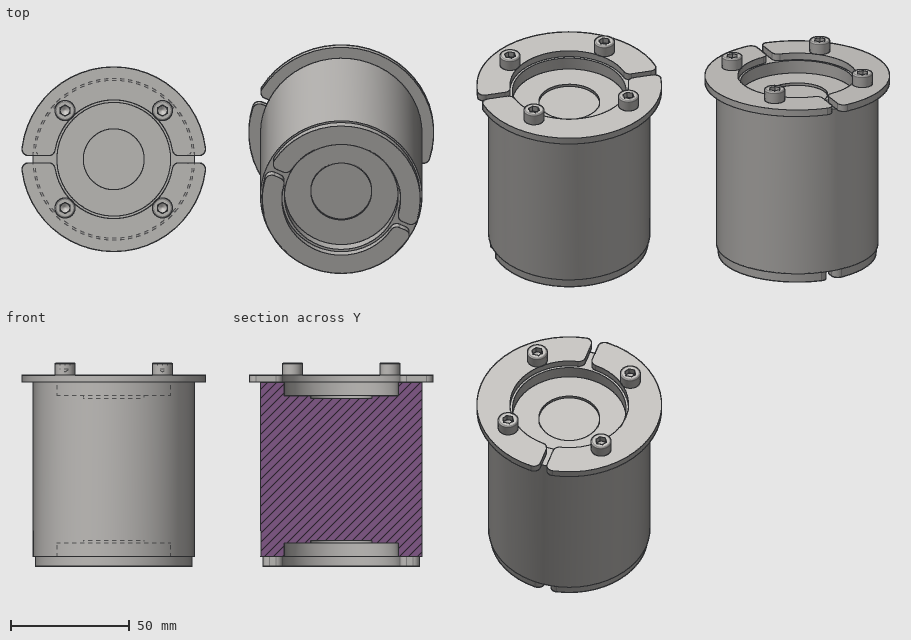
import cadquery as cq
import math

total_height = 85.5

body_radius = 34.0

top_flange_radius = 38.9
top_flange_thickness = 3.0
bottom_flange_radius = 33.3
bottom_flange_thickness = 4.1
flange_opening_radius = 25.0
flange_gap = 3.0
flange_corner_radius = 2.8

recess_radius = 23.9
recess_depth = 5.65
core_radius = 12.8
core_step = 1.1
core_depth = recess_depth + core_step

screw_circle_radius = 29.0
screw_angles = [45, 135, 225, 315]
head_diameter = 8.5
head_height = 5.05
head_fillet = 0.5
hex_across_flats = 4.1
socket_depth = 2.5
drill_tip_angle = 120

body_bottom = bottom_flange_thickness
flange_top = total_height - head_height
body_top = flange_top - top_flange_thickness


def split_flange(outer_radius, thickness, bottom):
    """Two half rings with rounded corners, separated by a gap along X."""
    disc = cq.Workplane("XY").circle(outer_radius).circle(flange_opening_radius).extrude(thickness)
    gap = cq.Workplane("XY").box(
        2 * outer_radius, flange_gap, thickness, centered=(True, True, False)
    )
    halves = disc.cut(gap)
    halves = halves.edges("|Z").fillet(flange_corner_radius)
    return halves.translate((0, 0, bottom))


def make_body():
    """Cylinder with a stepped recess in each end."""
    body = (
        cq.Workplane("XY", origin=(0, 0, body_bottom))
        .circle(body_radius)
        .extrude(body_top - body_bottom)
    )
    for radius, depth in [(recess_radius, recess_depth), (core_radius, core_depth)]:
        top_recess = cq.Workplane("XY", origin=(0, 0, body_top)).circle(radius).extrude(-depth)
        bottom_recess = cq.Workplane("XY", origin=(0, 0, body_bottom)).circle(radius).extrude(depth)
        body = body.cut(top_recess).cut(bottom_recess)
    return body


def make_screw_head():
    """Cylindrical head with a rounded rim and a hexagonal socket ending in a drill tip."""
    head = cq.Workplane("XY").circle(head_diameter / 2).extrude(head_height)
    head = head.faces(">Z").edges().fillet(head_fillet)

    hex_across_corners = hex_across_flats / math.cos(math.radians(30))
    socket = (
        cq.Workplane("XY", origin=(0, 0, head_height))
        .transformed(rotate=(0, 0, 90))
        .polygon(6, hex_across_corners)
        .extrude(-socket_depth)
    )
    tip_radius = hex_across_flats / 2
    tip_height = tip_radius / math.tan(math.radians(drill_tip_angle / 2))
    tip_base = head_height - socket_depth
    drill_tip = (
        cq.Workplane("XZ")
        .moveTo(0, tip_base)
        .lineTo(tip_radius, tip_base)
        .lineTo(0, tip_base - tip_height)
        .close()
        .revolve(360, (0, 0, 0), (0, 1, 0))
    )
    return head.cut(socket).cut(drill_tip)


part = make_body()
part = part.union(split_flange(top_flange_radius, top_flange_thickness, body_top))
part = part.union(split_flange(bottom_flange_radius, bottom_flange_thickness, 0))

screw_head = make_screw_head()
for angle in screw_angles:
    x = screw_circle_radius * math.cos(math.radians(angle))
    y = screw_circle_radius * math.sin(math.radians(angle))
    part = part.union(screw_head.translate((x, y, flange_top)))

result = part